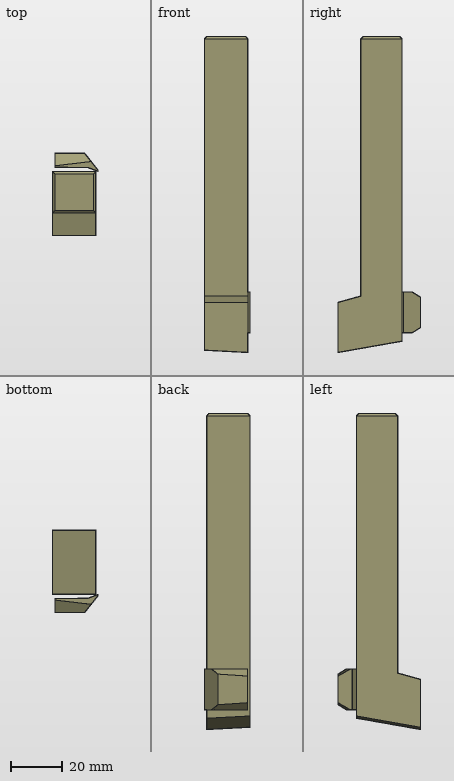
import cadquery as cq
import math

WIDTH = 17.0
SHANK_DEPTH = 16.1
FOOT_REACH = 8.9
HEIGHT = 123.0
SHOULDER_HIGH = 22.0
SHOULDER_LOW = 19.5
SOLE_ANGLE_Y = 10.0
SOLE_ANGLE_X = 3.0
TOP_CHAMFER = 1.0

CLAMP_LEFT = 1.0
CLAMP_BACK = 7.1
CLAMP_FRONT = 1.6
CLAMP_BACK_RIGHT = 12.5
NOSE_START = 13.9
NOSE_START_Y = 1.5
NOSE_TIP = 17.8
TIP_FLAT = 0.5
CLAMP_BOTTOM = 7.6
CLAMP_HEIGHT = 16.0
BEVEL_START = 2.2
BEVEL_ANGLE = 6.7
BEVEL_SLOPE = math.tan(math.radians(30.0))
BEVEL_RUN = 9.8
CUT_LENGTH = 24.6

DEPTH = SHANK_DEPTH + FOOT_REACH


def make_holder():
    """Shank and foot in one side profile, with a sole sloping two ways."""
    body = (
        cq.Workplane("YZ")
        .moveTo(0, 0)
        .lineTo(0, HEIGHT)
        .lineTo(-SHANK_DEPTH, HEIGHT)
        .lineTo(-SHANK_DEPTH, SHOULDER_HIGH)
        .lineTo(-DEPTH, SHOULDER_LOW)
        .lineTo(-DEPTH, 0)
        .close()
        .extrude(WIDTH)
        .faces(">Z")
        .chamfer(TOP_CHAMFER)
    )
    rise_y = math.tan(math.radians(SOLE_ANGLE_Y))
    rise_x = math.tan(math.radians(SOLE_ANGLE_X))
    sole_plane = cq.Plane(origin=(WIDTH, -DEPTH, 0), xDir=(1, 0, -rise_x), normal=(rise_x, -rise_y, 1))
    below_sole = cq.Workplane(sole_plane).rect(4 * DEPTH, 4 * DEPTH).extrude(-DEPTH)
    return body.cut(below_sole)


def make_bevel_cutter():
    """Wedge that slopes the upper back edge of the clamp."""
    turn = math.radians(BEVEL_ANGLE)
    along = cq.Vector(math.cos(turn), math.sin(turn), 0)
    across = cq.Vector(-math.sin(turn), math.cos(turn), 0)
    start = cq.Vector(CLAMP_LEFT, BEVEL_START, CLAMP_BOTTOM + CLAMP_HEIGHT)
    plane = cq.Plane(origin=start - along * CUT_LENGTH, xDir=across, normal=along)
    return (
        cq.Workplane(plane)
        .polyline([(0, 0), (BEVEL_RUN, 0), (BEVEL_RUN, -BEVEL_SLOPE * BEVEL_RUN)])
        .close()
        .extrude(2 * CUT_LENGTH)
    )


def make_clamp():
    """Plate with a pointed nose, bevelled alike above and below."""
    outline = [
        (CLAMP_LEFT, CLAMP_FRONT),
        (CLAMP_LEFT, CLAMP_BACK),
        (CLAMP_BACK_RIGHT, CLAMP_BACK),
        (NOSE_TIP, TIP_FLAT),
        (NOSE_TIP, 0),
        (NOSE_START, NOSE_START_Y),
    ]
    plate = cq.Workplane("XY", origin=(0, 0, CLAMP_BOTTOM)).polyline(outline).close().extrude(CLAMP_HEIGHT)
    upper_bevel = make_bevel_cutter()
    middle = (0, 0, CLAMP_BOTTOM + CLAMP_HEIGHT / 2)
    lower_bevel = upper_bevel.mirror("XY", middle)
    return plate.cut(upper_bevel).cut(lower_bevel)


holder = make_holder()
clamp = make_clamp()
result = cq.Compound.makeCompound([holder.val(), clamp.val()])